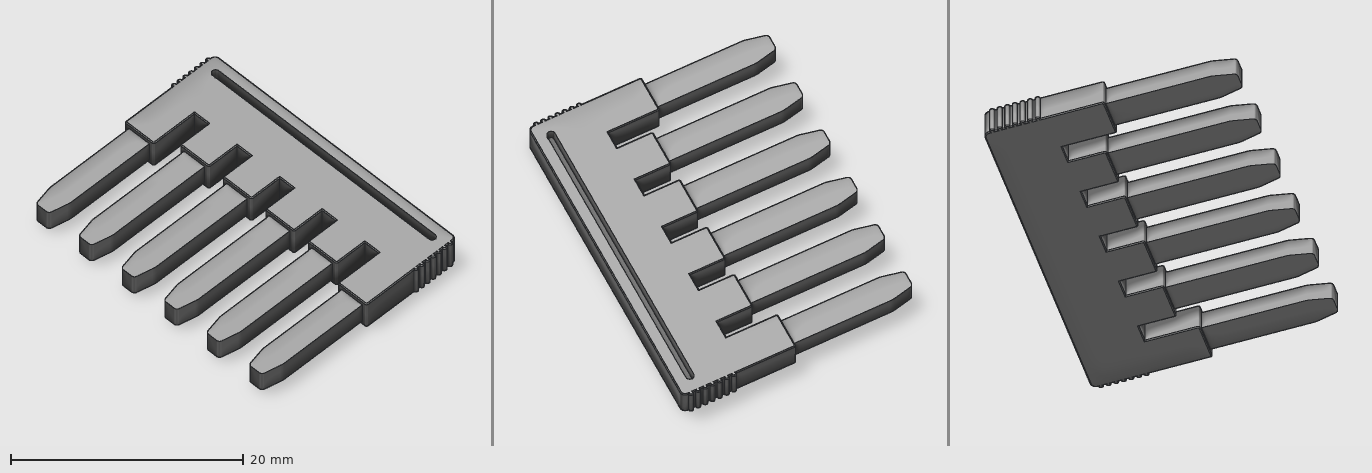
import cadquery as cq


total_width = 30.0
total_length = 22.7
thickness = 3.0
edge_chamfer = 0.1

pin_count = 6
pin_span = 26.0
tooth_width = 3.55
gap_depth = 6.0
inner_tooth_end = 9.42
outer_tooth_end = 10.95
tooth_corner_radius = 0.18
rear_corner_radius = 0.5

rib_count = 7
rib_pitch = 0.7
rib_radius = 0.25
first_rib = 0.8

groove_length = 27.18
groove_width = 0.75
groove_depth = 1.0
groove_draft = 5
groove_offset = 1.47

pin_width = 2.5
pin_thickness = 2.1
pin_tip_width = 1.55
pin_taper_length = 2.15
pin_shoulder_radius = 2.0
pin_tip_radius = 0.35

pitch = pin_span / (pin_count - 1)
pin_centers = [(i - (pin_count - 1) / 2) * pitch for i in range(pin_count)]
housing_width = pin_span + tooth_width


def block(width, front, rear, center_x=0.0):
    """Full-thickness block between two distances from the rear edge."""
    length = front - rear
    return (
        cq.Workplane("XY")
        .box(width, length, thickness)
        .translate((center_x, -rear - length / 2, 0))
    )


def tooth(center_x):
    """Full-thickness tooth with rounded tip corners; the outermost two are longer."""
    is_outer = center_x in (pin_centers[0], pin_centers[-1])
    tip = outer_tooth_end if is_outer else inner_tooth_end
    shape = block(tooth_width, tip, gap_depth, center_x)
    return shape.edges("|Z and <Y").fillet(tooth_corner_radius)


def ribs(side):
    """Row of round ribs on one side of the housing (side is -1 or +1)."""
    axis_x = side * (total_width / 2 - rib_radius)
    axes = [(axis_x, -first_rib - i * rib_pitch) for i in range(rib_count)]
    return (
        cq.Workplane("XY")
        .workplane(offset=-thickness / 2)
        .pushPoints(axes)
        .circle(rib_radius)
        .extrude(thickness)
    )


def groove():
    """Cutter for the blind, round-ended groove in the top face, narrowing with depth."""
    return (
        cq.Workplane("XY")
        .workplane(offset=thickness / 2)
        .center(0, -groove_offset)
        .slot2D(groove_length, groove_width)
        .extrude(-groove_depth, taper=groove_draft)
    )


def housing():
    """Plate, teeth and ribs with the top and bottom rims chamfered, then grooved."""
    body = block(housing_width, gap_depth, 0)
    body = body.edges("|Z and >Y").fillet(rear_corner_radius)
    for center_x in pin_centers:
        body = body.union(tooth(center_x))
    for side in (-1, 1):
        body = body.union(ribs(side))
    body = body.faces(">Z or <Z").edges().chamfer(edge_chamfer)
    return body.cut(groove())


def pin(center_x):
    """Flat pin rooted inside the housing, with a rounded, tapered tip."""
    half_width = pin_width / 2
    half_tip = pin_tip_width / 2
    shoulder = -total_length + pin_taper_length
    outline = [
        (-half_width, -gap_depth),
        (-half_width, shoulder),
        (-half_tip, -total_length),
        (half_tip, -total_length),
        (half_width, shoulder),
        (half_width, -gap_depth),
    ]
    blank = cq.Workplane("XY").polyline(outline).close()
    blank = blank.extrude(pin_thickness / 2, both=True)
    blank = blank.edges("|Z and <Y").fillet(pin_tip_radius)
    at_shoulder = cq.selectors.BoxSelector(
        (-pin_width, shoulder - pin_tip_radius, -pin_thickness),
        (pin_width, shoulder + pin_tip_radius, pin_thickness),
    )
    blank = blank.edges("|Z").edges(at_shoulder).fillet(pin_shoulder_radius)
    return blank.translate((center_x, 0, 0))


result = housing()
for pin_x in pin_centers:
    result = result.union(pin(pin_x))